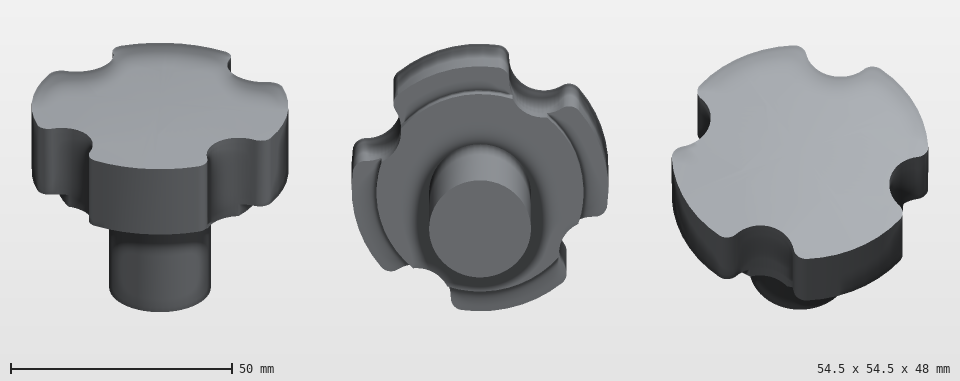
import cadquery as cq
import math

width = 54.5
total_height = 48.0
stem_radius = 11.5
stem_height = 27.05
collar_radius = 23.4
collar_height = 3.0
dome_rise = 1.05

scallop_count = 4
scallop_radius = 7.75
scallop_root = 21.6
lobe_fillet = 2.9

scallop_center = scallop_root + scallop_radius
collar_top = stem_height + collar_height
rim_height = total_height - dome_rise

fillet_center_y = width / 2 - lobe_fillet
fillet_center_x = math.sqrt(
    (scallop_radius + lobe_fillet) ** 2 - (scallop_center - fillet_center_y) ** 2
)
rim_radius = math.hypot(fillet_center_x, fillet_center_y) + lobe_fillet


def cylinder(radius, bottom, top):
    return cq.Workplane("XY").workplane(offset=bottom).circle(radius).extrude(top - bottom)


def domed_disc():
    """Solid of revolution with a shallow spherical top."""
    dome_radius = (rim_radius**2 + dome_rise**2) / (2 * dome_rise)
    mid_radius = rim_radius / 2
    mid_height = total_height - dome_radius + math.sqrt(dome_radius**2 - mid_radius**2)
    return (
        cq.Workplane("XZ")
        .moveTo(0, collar_top)
        .lineTo(rim_radius, collar_top)
        .lineTo(rim_radius, rim_height)
        .threePointArc((mid_radius, mid_height), (0, total_height))
        .close()
        .revolve(360, (0, 0, 0), (0, 1, 0))
    )


scallops = (
    cq.Workplane("XY")
    .workplane(offset=stem_height)
    .polarArray(scallop_center, 0, 360, scallop_count)
    .circle(scallop_radius)
    .extrude(total_height - stem_height)
)

lobes = cylinder(rim_radius, collar_top, total_height).cut(scallops)
lobes = lobes.edges("|Z").fillet(lobe_fillet)
grip = lobes.intersect(domed_disc())

collar = cylinder(collar_radius, stem_height, collar_top).cut(scallops)
stem = cylinder(stem_radius, 0, stem_height)

result = grip.union(collar).union(stem)